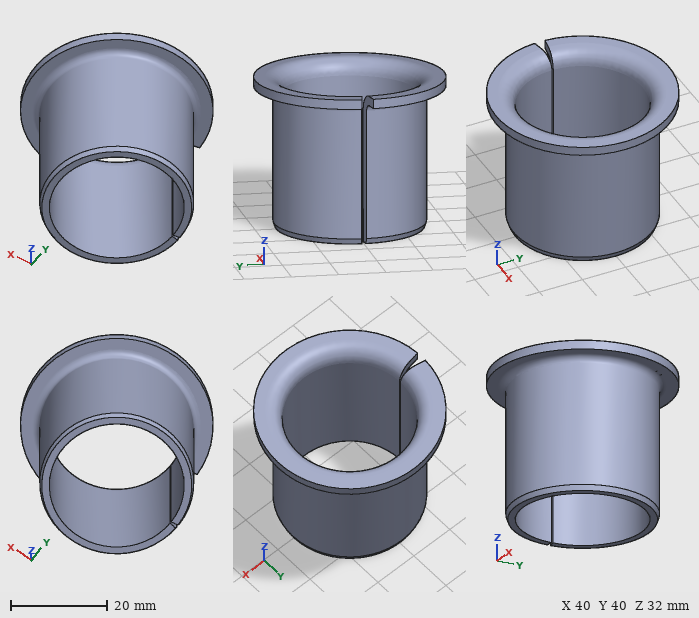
import cadquery as cq
import math

flange_radius = 20.0
bore_radius = 14.0
wall = 2.0
height = 32.0
mouth_radius = 3.48

chamfer_height = 1.2
chamfer_angle = 20.0

split_half_at_rim = 1.2
split_half_at_bore = 0.15

tube_radius = bore_radius + wall
neck_radius = mouth_radius - wall
flange_underside = height - wall
chamfer_width = chamfer_height * math.tan(math.radians(chamfer_angle))
bend_center_r = bore_radius + mouth_radius
bend_center_z = height - mouth_radius


def bend_point(radius):
    """Midpoint of a quarter arc about the flange bend center."""
    offset = radius * math.sqrt(0.5)
    return (bend_center_r - offset, bend_center_z + offset)


def bushing_body():
    """Revolve the wall section: tube, bend and flange of equal thickness."""
    return (
        cq.Workplane("XZ")
        .moveTo(bore_radius, 0)
        .lineTo(tube_radius - chamfer_width, 0)
        .lineTo(tube_radius, chamfer_height)
        .lineTo(tube_radius, bend_center_z)
        .threePointArc(bend_point(neck_radius), (bend_center_r, flange_underside))
        .lineTo(flange_radius, flange_underside)
        .lineTo(flange_radius, height)
        .lineTo(bend_center_r, height)
        .threePointArc(bend_point(mouth_radius), (bore_radius, bend_center_z))
        .close()
        .revolve(360, (0, 0), (0, 1))
        .rotate((0, 0, 0), (0, 0, 1), 180)
    )


def split_wedge():
    """Full-height wedge on the -X side, widening outward."""
    slope = (split_half_at_rim - split_half_at_bore) / (flange_radius - bore_radius)
    apex_radius = bore_radius - split_half_at_bore / slope
    outer_radius = flange_radius + wall
    outer_half = (outer_radius - apex_radius) * slope
    return (
        cq.Workplane("XY")
        .polyline([
            (-apex_radius, 0),
            (-outer_radius, outer_half),
            (-outer_radius, -outer_half),
        ])
        .close()
        .extrude(height)
    )


result = bushing_body().cut(split_wedge())